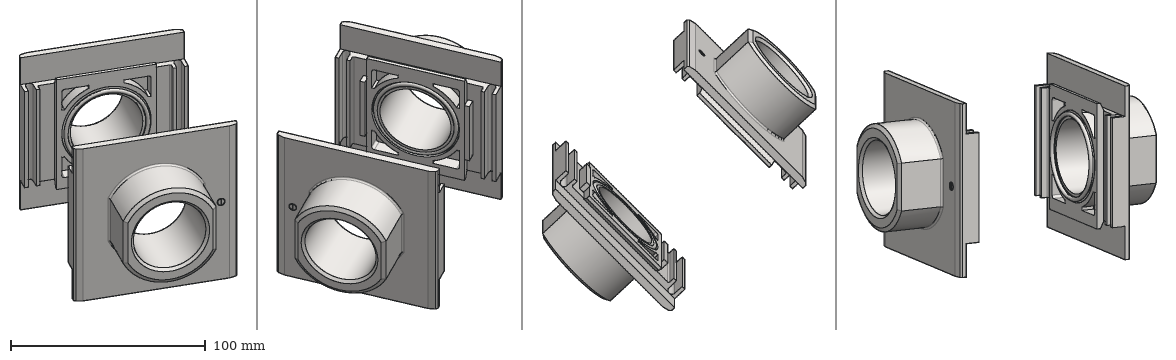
import cadquery as cq
import math

overall_length = 149.75
outer_end_x = -overall_length / 2

plate_width = 88.0
plate_height = 91.5
plate_top = 45.0
plate_bottom = plate_top - plate_height
plate_front = 25.0
plate_back = 29.1
bevel_width = 4.6
bevel_depth = 0.9
edge_chamfer = 1.0

spigot_radius = 28.0
spigot_half_flat = 25.0
spigot_chamfer_depth = 1.4
spigot_chamfer_width = 2.2
spigot_root_fillet = 1.0
bore_diameter = 38.95
bore_mouth_diameter = 42.0
bore_chamfer = (bore_mouth_diameter - bore_diameter) / 2

carrier_half_height = 28.9
carrier_back = 32.7
rear_face = 36.4
slot_centre = plate_width / 2 - 4.15
slot_radius = 2.0
slot_bottom = plate_back
slot_tip_half_width = 2.15
lip_inner = plate_width / 2 - 8.2
lip_fillet = 0.8

frame_half_width = 26.75
ledge_half_height = 33.0
ledge_root = 32.4
ledge_tip = 34.5

pocket_half_width = 24.0
pocket_half_height = 26.5
pocket_depth = 6.8
pocket_floor = rear_face - pocket_depth
pocket_corner_radius = 1.5
pocket_inner_y = 9.5
pocket_inner_z = 14.2
tube_wall_radius = 26.6

groove_outer_diameter = 48.0
groove_inner_diameter = 42.0
ring_section = 2.2
ring_mean_radius = groove_inner_diameter / 2 + ring_section / 2
seated_ring_proud = 0.4
raised_ring_proud = ring_section
groove_depth = ring_section - seated_ring_proud

rail_inner = 27.25
rail_outer = 30.0
rail_half_length = 18.0
rail_end = 37.7

mark_outer_diameter = 4.2
mark_inner_diameter = 3.73
mark_line_width = 0.1
mark_depth = 0.2
mark_y = 34.8


def section_plane(depth):
    """YZ workplane at a given depth behind the spigot end."""
    return cq.Workplane("YZ", origin=(outer_end_x + depth, 0, 0))


def upright(outline, bottom, top):
    """Extrude a (depth, y) outline between two heights."""
    return outline.extrude(top - bottom).translate((outer_end_x, 0, bottom))


def disc(diameter, start, end):
    return section_plane(start).circle(diameter / 2).extrude(end - start)


def make_plate():
    half = plate_width / 2
    bevel_end = plate_front + bevel_depth
    side = [
        (plate_front, half - bevel_width),
        (bevel_end, half - edge_chamfer),
        (bevel_end + edge_chamfer, half),
        (plate_back, half),
    ]
    opposite_side = [(depth, -y) for depth, y in reversed(side)]
    outline = cq.Workplane("XY").polyline(side + opposite_side).close()
    return upright(outline, plate_bottom, plate_top)


def spigot_outline(depth):
    half_flat_height = math.sqrt(spigot_radius**2 - spigot_half_flat**2)
    return (
        section_plane(depth)
        .moveTo(spigot_half_flat, -half_flat_height)
        .lineTo(spigot_half_flat, half_flat_height)
        .threePointArc((0, spigot_radius), (-spigot_half_flat, half_flat_height))
        .lineTo(-spigot_half_flat, -half_flat_height)
        .threePointArc((0, -spigot_radius), (spigot_half_flat, -half_flat_height))
        .close()
    )


def make_spigot():
    chamfer_angle = math.degrees(math.atan2(spigot_chamfer_width, spigot_chamfer_depth))
    barrel = spigot_outline(spigot_chamfer_depth).extrude(plate_front - spigot_chamfer_depth)
    nose = spigot_outline(spigot_chamfer_depth).extrude(-spigot_chamfer_depth, taper=chamfer_angle)
    return barrel.union(nose)


def make_front():
    """Plate and spigot joined by a fillet around the spigot root."""
    front = make_plate().union(make_spigot())
    margin = spigot_root_fillet / 2
    reach = spigot_radius + margin
    root_x = outer_end_x + plate_front
    root_edges = cq.selectors.BoxSelector(
        (root_x - margin, -reach, -reach), (root_x + margin, reach, reach), boundingbox=True
    )
    return front.edges(root_edges).fillet(spigot_root_fillet)


def make_slot(side):
    """Round-bottomed slot that opens slightly towards the rear."""
    centre_depth = slot_bottom + slot_radius
    centre_y = side * slot_centre
    outline = (
        cq.Workplane("XY")
        .moveTo(rear_face, centre_y - slot_tip_half_width)
        .lineTo(centre_depth, centre_y - slot_radius)
        .threePointArc((slot_bottom, centre_y), (centre_depth, centre_y + slot_radius))
        .lineTo(rear_face, centre_y + slot_tip_half_width)
        .close()
    )
    return upright(outline, -carrier_half_height, carrier_half_height)


def make_carrier():
    half = plate_width / 2
    outline = cq.Workplane("XY").polyline([
        (plate_back, -half),
        (rear_face, -half),
        (rear_face, -lip_inner),
        (carrier_back, -lip_inner),
        (carrier_back, lip_inner),
        (rear_face, lip_inner),
        (rear_face, half),
        (plate_back, half),
    ]).close()
    carrier = upright(outline, -carrier_half_height, carrier_half_height)
    for side in (-1, 1):
        corner = (outer_end_x + carrier_back, side * lip_inner, 0)
        carrier = carrier.edges(cq.selectors.NearestToPointSelector(corner)).fillet(lip_fillet)
        carrier = carrier.cut(make_slot(side))
    return carrier


def make_frame():
    upper_side = [
        (carrier_back, carrier_half_height),
        (ledge_root, carrier_half_height),
        (ledge_tip, ledge_half_height),
        (rear_face, ledge_half_height),
    ]
    lower_side = [(depth, -z) for depth, z in reversed(upper_side)]
    return (
        cq.Workplane("XZ", origin=(outer_end_x, 0, 0))
        .polyline(upper_side + lower_side)
        .close()
        .extrude(frame_half_width, both=True)
    )


def pocket_block(half_width, half_height):
    return (
        section_plane(pocket_floor)
        .rect(2 * half_width, 2 * half_height)
        .extrude(pocket_depth)
    )


def make_corner_pockets():
    """Rounded block less a cross and the round tube wall, which leaves four blunt-ended corners."""
    pockets = pocket_block(pocket_half_width, pocket_half_height).edges("|X").fillet(pocket_corner_radius)
    pockets = pockets.cut(pocket_block(pocket_inner_y, pocket_half_height))
    pockets = pockets.cut(pocket_block(pocket_half_width, pocket_inner_z))
    return pockets.cut(disc(2 * tube_wall_radius, pocket_floor, rear_face))


def make_groove():
    start = rear_face - groove_depth
    outer = disc(groove_outer_diameter, start, rear_face)
    return outer.cut(disc(groove_inner_diameter, start, rear_face))


def make_bore():
    bore = disc(bore_diameter, 0, rear_face)
    mouth = cq.Solid.makeCone(
        bore_mouth_diameter / 2,
        bore_diameter / 2,
        bore_chamfer,
        cq.Vector(outer_end_x, 0, 0),
        cq.Vector(1, 0, 0),
    )
    return bore.union(cq.Workplane(mouth))


def make_mark():
    plane = section_plane(plate_front).center(mark_y, 0)
    ring = plane.circle(mark_outer_diameter / 2).circle(mark_inner_diameter / 2).extrude(mark_depth)
    line = plane.rect(mark_line_width, mark_inner_diameter).extrude(mark_depth)
    return ring.union(line)


def make_socket():
    socket = make_front().union(make_carrier()).union(make_frame())
    for void in (make_corner_pockets(), make_groove(), make_bore(), make_mark()):
        socket = socket.cut(void)
    return socket


def make_rail(side):
    return (
        section_plane(carrier_back)
        .center(side * (rail_inner + rail_outer) / 2, 0)
        .rect(rail_outer - rail_inner, 2 * rail_half_length)
        .extrude(rail_end - carrier_back)
    )


def make_ring(proud):
    """Round-section ring standing a given distance proud of the rear face."""
    centre_x = outer_end_x + rear_face + proud - ring_section / 2
    ring = cq.Solid.makeTorus(
        ring_mean_radius,
        ring_section / 2,
        cq.Vector(centre_x, 0, 0),
        cq.Vector(1, 0, 0),
    )
    return cq.Workplane(ring)


plain_socket = make_socket()
railed_socket = plain_socket.union(make_rail(-1)).union(make_rail(1)).mirror("YZ")
raised_ring = make_ring(raised_ring_proud)
seated_ring = make_ring(seated_ring_proud).mirror("YZ")

result = cq.Compound.makeCompound([
    plain_socket.val(),
    railed_socket.val(),
    raised_ring.val(),
    seated_ring.val(),
])